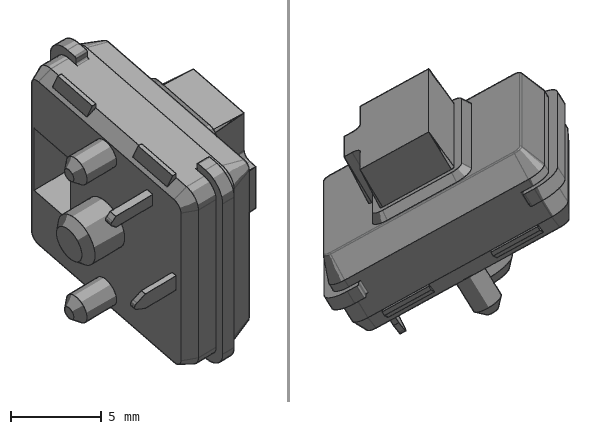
import cadquery as cq
import math


HOUSING_HALF = 6.93
HOUSING_CORNER_RADIUS = 1.04
HOUSING_BOTTOM_HALF = 6.5
HOUSING_TOP_HALF = 6.35
WALL_START = 0.9
WALL_END = 3.46
HOUSING_TOP = 5.07
TOP_EDGE_RADIUS = 0.1

FLANGE_HALF = 7.5
FLANGE_CORNER_RADIUS = 1.5
FLANGE_START = 2.18
FLANGE_END = 3.0
FLANGE_GAP_HALF = 5.26
FLANGE_TIP_RADIUS = 0.12

COLLAR_TOP = 5.61
COLLAR_HALF_X = 3.18
COLLAR_HALF_Z = 6.12
COLLAR_CORNER_RADIUS = 0.96
COLLAR_SLOPE = 0.32

STEM_TOP = 8.1
STEM_HALF_X = 2.2
STEM_HALF_Z = 5.12
STEM_DRAFT = 4.0
RIB_END = 3.22
RIB_HALF_Z = 1.65
RIB_ROOT_RADIUS = 0.51

CLIP_LENGTH = 3.0
CLIP_OFFSET = 3.5
CLIP_REACH = 7.25
CLIP_FLAT = 0.25
CLIP_FOOT = 0.25

POST_LENGTH = 2.67
POST_TIP_LENGTH = 0.54
POST_TIP_INSET = 0.5
CENTER_POST_RADIUS = 1.6
SIDE_POST_RADIUS = 0.9
SIDE_POST_OFFSET = 5.5

PIN_LENGTH = 3.0

WINDOW_WIDTH = 3.16
WINDOW_HEIGHT = 4.96
WINDOW_CENTER_X = -4.7
WINDOW_DEPTH = WALL_END


def slope_angle(inset, height):
    """Taper in degrees of a side that moves inwards by inset over height."""
    return math.degrees(math.atan2(inset, height))


def rounded_prism(half_x, half_z, corner_radius, start, end, inset=0.0):
    """Rounded rectangle extruded along Y from start to end, narrowing by inset."""
    height = end - start
    outline = cq.Sketch().rect(2 * half_x, 2 * half_z).vertices().fillet(corner_radius)
    plane = cq.Workplane("XZ", origin=(0, start, 0))
    return plane.placeSketch(outline).extrude(-height, taper=slope_angle(inset, abs(height)))


def make_housing():
    half, radius = HOUSING_HALF, HOUSING_CORNER_RADIUS
    wall = rounded_prism(half, half, radius, WALL_START, WALL_END)
    lower = rounded_prism(half, half, radius, WALL_START, 0, half - HOUSING_BOTTOM_HALF)
    upper = rounded_prism(half, half, radius, WALL_END, HOUSING_TOP, half - HOUSING_TOP_HALF)
    upper = upper.faces(">Y").edges().fillet(TOP_EDGE_RADIUS)
    return wall.union(lower).union(upper)


def add_flange(body):
    """Add the two C-shaped flange halves and round their ends and roots."""
    thickness = FLANGE_END - FLANGE_START
    middle = (FLANGE_START + FLANGE_END) / 2
    flange = rounded_prism(FLANGE_HALF, FLANGE_HALF, FLANGE_CORNER_RADIUS, FLANGE_START, FLANGE_END)
    gap = cq.Workplane("XY").box(2 * FLANGE_GAP_HALF, thickness, 2 * FLANGE_HALF)
    body = body.union(flange.cut(gap.translate((0, middle, 0))))

    margin = 0.15
    for z in (-1, 1):
        ends = cq.selectors.BoxSelector(
            (-FLANGE_GAP_HALF - margin, FLANGE_START - margin, z * (HOUSING_HALF - margin)),
            (FLANGE_GAP_HALF + margin, FLANGE_END + margin, z * (FLANGE_HALF + margin)),
        )
        body = body.edges("|Y").edges(ends).fillet(FLANGE_TIP_RADIUS)
    return body


def make_stem():
    """Drafted block with a rib on its +X side."""
    stem = (
        cq.Workplane("XZ", origin=(0, STEM_TOP, 0))
        .moveTo(-STEM_HALF_X, -STEM_HALF_Z)
        .lineTo(STEM_HALF_X, -STEM_HALF_Z)
        .lineTo(STEM_HALF_X, -RIB_HALF_Z - RIB_ROOT_RADIUS)
        .radiusArc((STEM_HALF_X + RIB_ROOT_RADIUS, -RIB_HALF_Z), RIB_ROOT_RADIUS)
        .lineTo(RIB_END, -RIB_HALF_Z)
        .lineTo(RIB_END, RIB_HALF_Z)
        .lineTo(STEM_HALF_X + RIB_ROOT_RADIUS, RIB_HALF_Z)
        .radiusArc((STEM_HALF_X, RIB_HALF_Z + RIB_ROOT_RADIUS), RIB_ROOT_RADIUS)
        .lineTo(STEM_HALF_X, STEM_HALF_Z)
        .lineTo(-STEM_HALF_X, STEM_HALF_Z)
        .close()
    )
    return stem.extrude(STEM_TOP - HOUSING_TOP, taper=-STEM_DRAFT)


def make_clip(center_x):
    """Wedge on the +Z side of the housing."""
    root = HOUSING_BOTTOM_HALF + (HOUSING_HALF - HOUSING_BOTTOM_HALF) * CLIP_FOOT / WALL_START
    profile = [
        (CLIP_FOOT, root),
        (WALL_START - CLIP_FLAT, CLIP_REACH),
        (WALL_START, CLIP_REACH),
        (WALL_START, root),
    ]
    plane = cq.Workplane("YZ", origin=(center_x - CLIP_LENGTH / 2, 0, 0))
    return plane.polyline(profile).close().extrude(CLIP_LENGTH)


def make_post(radius, z):
    """Round post pointing to -Y with a conical tip."""
    post = cq.Workplane("XZ", origin=(0, 0, z)).circle(radius).extrude(POST_LENGTH)
    return post.faces("<Y").chamfer(POST_TIP_LENGTH, POST_TIP_INSET)


def make_pin(center_x, center_z, thickness, width, shoulder, nose_start, nose_width):
    """Flat pin that narrows from the shoulder depth to a rounded nose."""
    half, nose_half = width / 2, nose_width / 2
    pin = (
        cq.Workplane("YZ", origin=(center_x - thickness / 2, 0, center_z))
        .moveTo(0, -half)
        .lineTo(-shoulder, -half)
        .lineTo(-nose_start, -nose_half)
        .threePointArc((-PIN_LENGTH, 0), (-nose_start, nose_half))
        .lineTo(-shoulder, half)
        .lineTo(0, half)
        .close()
    )
    return pin.extrude(thickness)


result = add_flange(make_housing())

collar = rounded_prism(
    COLLAR_HALF_X, COLLAR_HALF_Z, COLLAR_CORNER_RADIUS, HOUSING_TOP, COLLAR_TOP, COLLAR_SLOPE
)
result = result.union(collar).union(make_stem())

for clip_x in (-CLIP_OFFSET, CLIP_OFFSET):
    clip = make_clip(clip_x)
    result = result.union(clip).union(clip.mirror("XY"))

result = result.union(make_post(CENTER_POST_RADIUS, 0))
for post_z in (-SIDE_POST_OFFSET, SIDE_POST_OFFSET):
    result = result.union(make_post(SIDE_POST_RADIUS, post_z))

upper_pin = make_pin(
    center_x=3.8,
    center_z=5.0,
    thickness=0.5,
    width=0.87,
    shoulder=2.65,
    nose_start=2.9,
    nose_width=0.36,
)
side_pin = make_pin(
    center_x=5.91,
    center_z=0.0,
    thickness=0.35,
    width=1.14,
    shoulder=2.22,
    nose_start=2.82,
    nose_width=0.51,
)
result = result.union(upper_pin).union(side_pin)

window = cq.Workplane("XZ").center(WINDOW_CENTER_X, 0).rect(WINDOW_WIDTH, WINDOW_HEIGHT)
result = result.cut(window.extrude(-WINDOW_DEPTH))